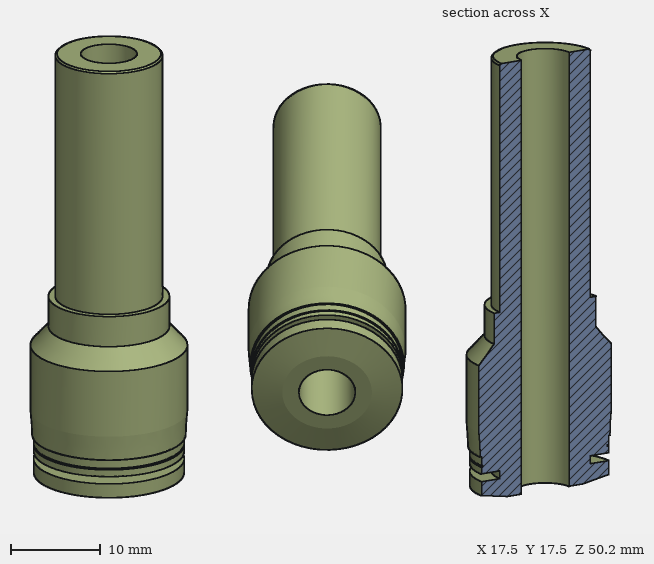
import cadquery as cq

bore_diameter = 6.3
stem_diameter = 12.0
collar_diameter = 13.5
body_diameter = 17.5
body_taper_diameter = 17.15
ring_diameter = 16.8
button_face_diameter = 10.0

total_height = 50.2
button_edge_height = 0.6
button_top_height = 2.25
body_bottom_height = 3.1
ring_groove_height = 3.9
taper_bottom_height = 5.1
taper_top_height = 8.0
shoulder_bottom_height = 15.7
shoulder_top_height = 17.9
collar_top_height = 21.5

stem_chamfer = 0.2
ring_groove_width = 0.15
ring_groove_depth = 0.15


def cylinder(diameter, bottom, top):
    """Solid cylinder on the Z axis between two heights."""
    return cq.Workplane("XY").workplane(offset=bottom).circle(diameter / 2).extrude(top - bottom)


def cone(bottom_diameter, top_diameter, bottom, top):
    """Solid truncated cone on the Z axis between two heights."""
    return (
        cq.Workplane("XZ")
        .moveTo(0, bottom)
        .lineTo(bottom_diameter / 2, bottom)
        .lineTo(top_diameter / 2, top)
        .lineTo(0, top)
        .close()
        .revolve(360, (0, 0), (0, 1))
    )


button = cone(button_face_diameter, ring_diameter, 0, button_edge_height)
button = button.union(cylinder(ring_diameter, button_edge_height, button_top_height))
button = button.union(cylinder(stem_diameter, button_top_height, body_bottom_height))

ring = cylinder(ring_diameter, body_bottom_height, taper_bottom_height)
ring_groove_top = ring_groove_height + ring_groove_width
groove = cylinder(ring_diameter, ring_groove_height, ring_groove_top).cut(
    cylinder(ring_diameter - 2 * ring_groove_depth, ring_groove_height, ring_groove_top)
)
body = ring.cut(groove)
body = body.union(cone(body_taper_diameter, body_diameter, taper_bottom_height, taper_top_height))
body = body.union(cylinder(body_diameter, taper_top_height, shoulder_bottom_height))
body = body.union(cone(body_diameter, collar_diameter, shoulder_bottom_height, shoulder_top_height))
body = body.union(cylinder(collar_diameter, shoulder_top_height, collar_top_height))

stem = cylinder(stem_diameter, collar_top_height, total_height).faces(">Z").chamfer(stem_chamfer)

bore = cylinder(bore_diameter, 0, total_height)

result = button.union(body).union(stem).cut(bore)